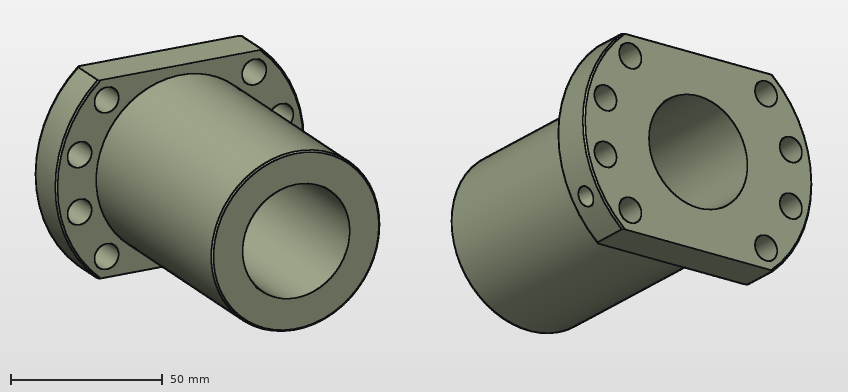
import cadquery as cq

total_length = 96.0
flange_diameter = 93.0
flange_height = 70.0
flange_thickness = 15.0
body_diameter = 63.0
bore_diameter = 40.0
edge_chamfer = 0.6

bolt_hole_diameter = 9.0
bolt_circle_diameter = 78.0
bolt_angles = (15, 45)

oil_hole_diameter = 7.0
oil_hole_angle = -sum(bolt_angles) / 2
oil_hole_x = flange_thickness / 2


def disc(diameter, length):
    """Solid cylinder along +X starting at X = 0."""
    return cq.Workplane("YZ").circle(diameter / 2).extrude(length)


def make_flange():
    """Round flange with chamfered rims, cut by flats at top and bottom."""
    round_flange = disc(flange_diameter, flange_thickness).edges().chamfer(edge_chamfer)
    between_flats = cq.Workplane("YZ").rect(flange_diameter, flange_height).extrude(flange_thickness)
    return round_flange.intersect(between_flats)


def make_bolt_holes():
    """Four pairs of through holes on the bolt circle."""
    angles = [side + sign * angle for side in (0, 180) for sign in (-1, 1) for angle in bolt_angles]
    holes = cq.Workplane("YZ")
    for angle in angles:
        holes = holes.union(
            disc(bolt_hole_diameter, flange_thickness)
            .translate((0, bolt_circle_diameter / 2, 0))
            .rotate((0, 0, 0), (1, 0, 0), angle)
        )
    return holes


def make_oil_hole():
    """Radial hole from the flange rim into the bore."""
    return (
        cq.Workplane("XZ")
        .center(oil_hole_x, 0)
        .circle(oil_hole_diameter / 2)
        .extrude(-flange_diameter / 2)
        .rotate((0, 0, 0), (1, 0, 0), oil_hole_angle)
    )


body = disc(body_diameter, total_length).faces(">X").edges().chamfer(edge_chamfer)
bore = disc(bore_diameter, total_length)

result = make_flange().union(body).cut(bore).cut(make_bolt_holes()).cut(make_oil_hole())